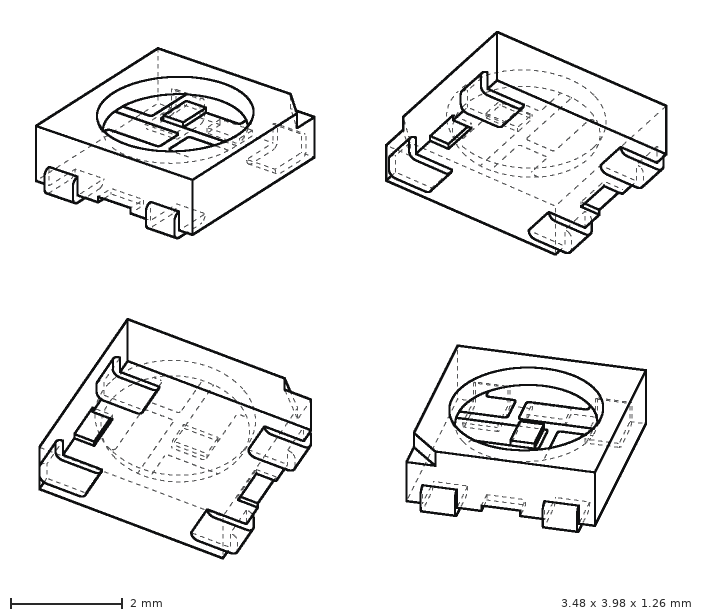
import cadquery as cq

overall_length = 3.98
housing_width = 3.48
overall_height = 1.26
lead_thickness = 0.147
housing_length = overall_length - 2 * lead_thickness
housing_height = overall_height - lead_thickness

corner_leg = 0.535
corner_depth = 0.3

cavity_radius_x = 1.375
cavity_radius_y = 1.453
cavity_wall_inset = 0.107
cavity_depth = 0.3
floor_z = housing_height - cavity_depth
floor_radius_x = cavity_radius_x - cavity_wall_inset
floor_radius_y = cavity_radius_y - cavity_wall_inset

pad_height = 0.005
pad_reach = 1.592
pad_corner_radius = 0.06
upper_pad_bottom = 0.127
upper_pad_top = 0.82
lower_pad_bottom = -0.73
upper_left_pad_end = -0.62
upper_right_pad_end = -0.438
upper_right_pad_step = 0.83
lower_left_pad_top = -0.11
lower_left_pad_end = 0.175
lower_left_pad_step = -0.96
lower_right_pad_top = -0.1
lower_right_pad_end = 0.375
lower_right_pad_step = 0.93

chip_left = -0.36
chip_width = 0.44
chip_height = 0.105

lead_width = 0.633
lead_centre_x = 1.125
lead_height = 0.525
lead_foot_length = 0.935

recess_width = 0.715
recess_height = 0.11
recess_depth = 0.398


def make_housing():
    return cq.Workplane("XY").box(housing_width, housing_length, housing_height, centered=(True, True, False))


def make_corner_cut():
    x = housing_width / 2
    y = housing_length / 2
    return (
        cq.Workplane("XY", origin=(0, 0, housing_height - corner_depth))
        .polyline([(x - corner_leg, y), (x, y), (x, y - corner_leg)])
        .close()
        .extrude(corner_depth)
    )


def make_cavity():
    return (
        cq.Workplane("XY", origin=(0, 0, floor_z))
        .ellipse(floor_radius_x, floor_radius_y)
        .workplane(offset=cavity_depth)
        .ellipse(cavity_radius_x, cavity_radius_y)
        .loft(ruled=True)
    )


def make_pad(end, step, inner_edge, outer_edge):
    """Pad running from its end to the cavity wall, widening outward beyond the step."""
    wall_x = pad_reach if step > end else -pad_reach
    wall_y = pad_reach if outer_edge > inner_edge else -pad_reach
    outline = [
        (end, inner_edge),
        (wall_x, inner_edge),
        (wall_x, wall_y),
        (step, wall_y),
        (step, outer_edge),
        (end, outer_edge),
    ]
    pad = cq.Workplane("XY", origin=(0, 0, floor_z)).polyline(outline).close().extrude(pad_height)
    return pad.edges("|Z").fillet(pad_corner_radius)


def make_upper_left_pad():
    width = pad_reach + upper_left_pad_end
    length = pad_reach - upper_pad_bottom
    return (
        cq.Workplane("XY", origin=(-pad_reach, upper_pad_bottom, floor_z))
        .box(width, length, pad_height, centered=False)
        .edges("|Z")
        .fillet(pad_corner_radius)
    )


def make_pads():
    pads = make_upper_left_pad()
    for end, step, inner_edge, outer_edge in [
        (upper_right_pad_end, upper_right_pad_step, upper_pad_bottom, upper_pad_top),
        (lower_left_pad_end, lower_left_pad_step, lower_left_pad_top, lower_pad_bottom),
        (lower_right_pad_end, lower_right_pad_step, lower_right_pad_top, lower_pad_bottom),
    ]:
        pads = pads.union(make_pad(end, step, inner_edge, outer_edge))
    return pads.intersect(make_cavity())


def make_chip():
    chip_length = upper_pad_top - upper_pad_bottom
    return cq.Workplane("XY", origin=(chip_left, upper_pad_bottom, floor_z)).box(
        chip_width, chip_length, chip_height, centered=False
    )


def make_lead(centre_x):
    """L-shaped lead at the +Y end, with its bend and both tips rounded."""
    wall_y = housing_length / 2
    outer_y = overall_length / 2
    inner_y = outer_y - lead_foot_length
    bottom_z = -lead_thickness
    tip_z = bottom_z + lead_height
    radius = lead_thickness
    return (
        cq.Workplane("YZ", origin=(centre_x - lead_width / 2, 0, 0))
        .moveTo(wall_y, 0)
        .lineTo(wall_y, tip_z)
        .radiusArc((outer_y, tip_z - radius), radius)
        .lineTo(outer_y, 0)
        .radiusArc((outer_y - radius, bottom_z), radius)
        .lineTo(inner_y + radius, bottom_z)
        .radiusArc((inner_y, 0), radius)
        .close()
        .extrude(lead_width)
    )


def make_recess():
    """Recess at the +Y end of the underside."""
    return cq.Workplane("XY", origin=(0, (housing_length - recess_depth) / 2, 0)).box(
        recess_width, recess_depth, recess_height, centered=(True, True, False)
    )


result = make_housing().cut(make_corner_cut()).cut(make_cavity())
result = result.union(make_pads()).union(make_chip())

recess = make_recess()
result = result.cut(recess).cut(recess.mirror("XZ"))

for centre_x in (-lead_centre_x, lead_centre_x):
    lead = make_lead(centre_x)
    result = result.union(lead).union(lead.mirror("XZ"))